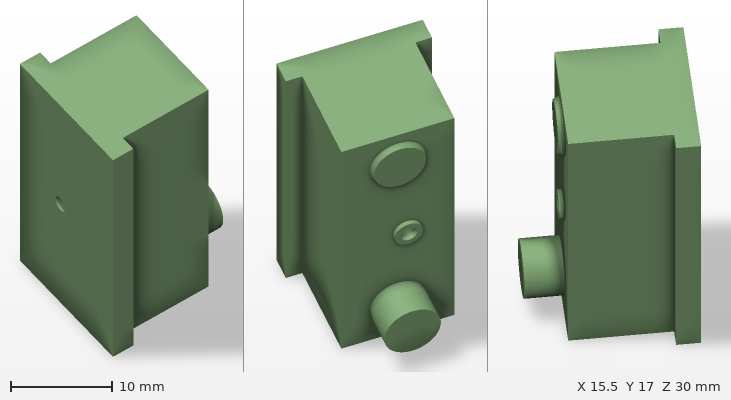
import cadquery as cq

height = 30.0
flange_width = 15.5
flange_thickness = 2.5
body_width = 12.0
total_depth = 17.0
shaft_length = 4.0
back_y = total_depth - shaft_length

shaft_diameter = 6.0
shaft_z = 4.5
button_base_diameter = 6.0
button_tip_diameter = 5.5
button_height = 0.6
button_z = 25.75
collar_diameter = 3.0
collar_height = 0.48

hole_diameter = 1.75
hole_x = -1.0
hole_z = height / 2


def cylinder_along_y(x, z, diameter, start_y, length):
    """Cylinder that starts at start_y and extends toward +Y."""
    return cq.Workplane(cq.Solid.makeCylinder(
        diameter / 2, length, cq.Vector(x, start_y, z), cq.Vector(0, 1, 0)))


def front_block(width, depth):
    """Full-height block centred on X, with its front face at Y = 0."""
    return cq.Workplane("XY").box(width, depth, height, centered=(True, False, False))


flange = front_block(flange_width, flange_thickness)
body = front_block(body_width, back_y)
shaft = cylinder_along_y(0, shaft_z, shaft_diameter, back_y, shaft_length)
button = cq.Workplane(cq.Solid.makeCone(
    button_base_diameter / 2, button_tip_diameter / 2, button_height,
    cq.Vector(0, back_y, button_z), cq.Vector(0, 1, 0)))
collar = cylinder_along_y(hole_x, hole_z, collar_diameter, back_y, collar_height)
hole = cylinder_along_y(hole_x, hole_z, hole_diameter, 0, total_depth)

result = flange.union(body).union(shaft).union(button).union(collar).cut(hole)